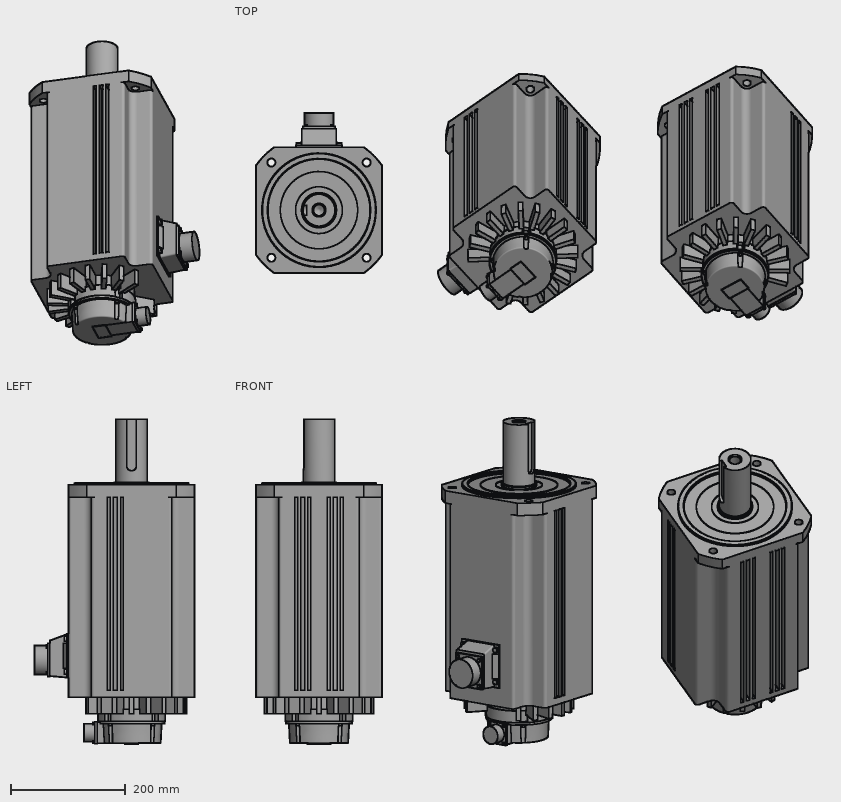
import cadquery as cq
import math

overall_length = 566.5
shaft_top = 114.5
motor_bottom = shaft_top - overall_length

shaft_radius = 28.0
keyway_width = 17.0
keyway_length = 90.0
keyway_floor = 21.5
tapped_hole_radius = 9.5
tapped_hole_depth = 34.0
tapped_hole_chamfer = 2.0
drill_point_angle = 118
collar_radius = 30.5
collar_top = 4.5
collar_chamfer = 1.0

flange_width = 220.0
flange_corner_radius = 135.0
flange_thickness = 22.0
bolt_spacing = 166.0
bolt_hole_radius = 7.0
pilot_radius = 99.5
pilot_height = 3.5
pilot_recess_radius = 89.0
pilot_chamfer = 1.0
bearing_cover_radius = 67.5
bearing_cover_height = 1.0
seal_radius = 41.0

housing_half = flange_width / 2
housing_bottom = -370.5
end_plate_thickness = 12.5
notch_wall = 70.0
notch_fillet = 12.5
edge_fillet = 5.0
groove_spans = ((14.0, 19.0), (25.0, 32.0), (37.0, 42.5))
groove_floor_radius = 98.5

fin_pitch = 18
last_fin = 8
fin_thickness = 8.0
fin_tip_radius = 96.0
fin_hub_radius = 56.5
fin_bottom = -399.5
fin_root_overlap = 5.5

encoder_flange_radius = 59.0
encoder_flange_top = -391.0
encoder_flange_bottom = -412.0
encoder_notch_width = 14.0
encoder_notch_floor = 50.0
encoder_lip_radius = 58.0
encoder_lip_bottom = -416.5
cap_top_radius = 52.5
cap_bottom_radius = 51.0
cap_bottom = -450.5
cap_edge_fillet = 2.0
screw_channel_radius = 4.25
cap_screw_radius = 3.1
cap_screw_height = 4.0
label_length = 41.0
label_width = 24.0

encoder_box_size = 37.5
encoder_box_end = 60.0
encoder_plate_size = 38.5
encoder_plate_end = 64.5
encoder_socket_radius = 16.0
encoder_socket_end = 83.0
encoder_connector_z = -432.0
encoder_screw_radius = 2.0
encoder_screw_offset = 16.0

power_base_width = 81.0
power_base_thickness = 3.0
power_top = -259.5
power_bottom = -336.5
power_box_width = 60.5
power_box_end = 142.0
power_front_top = -271.5
power_front_bottom = -333.5
power_box_fillet = 3.0
gusset_height = 9.0
gusset_top = -276.0
gusset_bottom = -320.0
base_screw_radius = 4.5
base_screw_height = 7.5
base_screw_x = 35.0
base_screw_levels = (-268.5, -326.0)
power_plate_width = 56.5
power_plate_height = 58.5
power_plate_end = 146.0
power_socket_radius = 25.5
power_socket_end = 169.5
power_socket_z = -305.5
power_screw_radius = 3.0
power_screw_offset = 23.0
connector_screw_height = 3.0


def cylinder(radius, bottom, top):
    """Upright cylinder on the motor axis."""
    return cq.Workplane("XY", origin=(0, 0, bottom)).circle(radius).extrude(top - bottom)


def block(x_span, y_span, z_span):
    """Box given by its limits along each axis."""
    size = [span[1] - span[0] for span in (x_span, y_span, z_span)]
    corner = (x_span[0], y_span[0], z_span[0])
    return cq.Workplane("XY").box(*size, centered=False).translate(corner)


def turn(body, angle):
    """Rotate a body about the motor axis."""
    return body.rotate((0, 0, 0), (0, 0, 1), angle)


def rod_along_y(radius, x, z, start, end):
    """Cylinder pointing in +Y."""
    plane = cq.Plane(origin=(x, start, z), xDir=(1, 0, 0), normal=(0, 1, 0))
    return cq.Workplane(plane).circle(radius).extrude(end - start)


def plate_along_y(width, height, z, start, end):
    """Rectangular plate centred on X = 0 and height z."""
    return block((-width / 2, width / 2), (start, end), (z - height / 2, z + height / 2))


def make_flange():
    square = cq.Workplane("XY").rect(flange_width, flange_width).extrude(-flange_thickness)
    flange = square.intersect(cylinder(flange_corner_radius, -flange_thickness, 0))
    bolt_holes = (
        cq.Workplane("XY")
        .rect(bolt_spacing, bolt_spacing, forConstruction=True)
        .vertices()
        .circle(bolt_hole_radius)
        .extrude(-flange_thickness)
    )
    pilot = cylinder(pilot_radius, 0, pilot_height)
    recess = cylinder(pilot_recess_radius, 0, pilot_height)
    pilot = pilot.cut(recess).faces(">Z").edges("%CIRCLE").chamfer(pilot_chamfer)
    cover = cylinder(bearing_cover_radius, 0, bearing_cover_height)
    seal_recess = cylinder(seal_radius, 0, bearing_cover_height)
    return flange.cut(bolt_holes).union(pilot).union(cover.cut(seal_recess))


def make_tapped_hole():
    """Centre hole in the shaft end with a chamfered mouth and a drill-point bottom."""
    mouth_radius = tapped_hole_radius + tapped_hole_chamfer
    hole_bottom = shaft_top - tapped_hole_depth
    point_depth = tapped_hole_radius / math.tan(math.radians(drill_point_angle / 2))
    return (
        cq.Workplane("XZ")
        .moveTo(0, shaft_top)
        .lineTo(mouth_radius, shaft_top)
        .lineTo(tapped_hole_radius, shaft_top - tapped_hole_chamfer)
        .lineTo(tapped_hole_radius, hole_bottom)
        .lineTo(0, hole_bottom - point_depth)
        .close()
        .revolve(360, (0, 0, 0), (0, 1, 0))
    )


def make_shaft():
    shaft = cylinder(shaft_radius, -flange_thickness, shaft_top)
    collar = cylinder(collar_radius, -flange_thickness, collar_top)
    shaft = shaft.union(collar.faces(">Z").edges().chamfer(collar_chamfer))
    shaft = shaft.cut(make_tapped_hole())

    round_end_z = shaft_top - keyway_length + keyway_width / 2
    keyway = block(
        (-collar_radius, -keyway_floor),
        (-keyway_width / 2, keyway_width / 2),
        (round_end_z, shaft_top),
    )
    round_end = (
        cq.Workplane("YZ", origin=(-collar_radius, 0, round_end_z))
        .circle(keyway_width / 2)
        .extrude(collar_radius - keyway_floor)
    )
    return shaft.cut(keyway).cut(round_end)


def make_housing():
    """Square column with a rounded notch along each corner and cooling grooves in its sides."""
    square = (-housing_half, housing_half)
    z_span = (housing_bottom, -flange_thickness)
    housing = block(square, square, z_span)
    notch_span = (notch_wall, housing_half)
    notch = block(notch_span, notch_span, z_span)
    notch = notch.edges("|Z and <X and <Y").fillet(notch_fillet)
    for index in range(4):
        housing = housing.cut(turn(notch, 90 * index))
    housing = housing.edges("|Z").edges("<X or >X or <Y or >Y").fillet(edge_fillet)
    return housing.cut(make_grooves())


def make_grooves():
    """Grooves on the front and on the rear halves of both sides, with floors on one cylinder."""
    z_span = (housing_bottom + end_plate_thickness, -flange_thickness)
    grooves = cq.Workplane("XY")
    for near, far in groove_spans:
        for sign in (-1, 1):
            span = tuple(sorted((sign * near, sign * far)))
            grooves = grooves.union(block(span, (-housing_half, 0), z_span))
        grooves = grooves.union(block((-housing_half, housing_half), (near, far), z_span))
    return grooves.cut(cylinder(groove_floor_radius, housing_bottom, 0))


def make_fins():
    """Ring of radial fins, leaving a gap on the +Y side."""
    fins = cylinder(fin_hub_radius, encoder_flange_top, housing_bottom)
    fin = block(
        (-fin_thickness / 2, fin_thickness / 2),
        (-fin_tip_radius, fin_root_overlap - fin_hub_radius),
        (fin_bottom, housing_bottom),
    )
    for index in range(-last_fin, last_fin + 1):
        fins = fins.union(turn(fin, index * fin_pitch))
    return fins


def make_encoder():
    flange = cylinder(encoder_flange_radius, encoder_flange_bottom, encoder_flange_top)
    lip = cylinder(encoder_lip_radius, encoder_lip_bottom, encoder_flange_bottom)
    cap = (
        cq.Workplane("XY", origin=(0, 0, encoder_lip_bottom))
        .circle(cap_top_radius)
        .workplane(offset=cap_bottom - encoder_lip_bottom)
        .circle(cap_bottom_radius)
        .loft()
        .faces("<Z").edges().fillet(cap_edge_fillet)
    )
    notch = block(
        (encoder_notch_floor, encoder_flange_radius),
        (-encoder_notch_width / 2, encoder_notch_width / 2),
        (encoder_flange_bottom, encoder_flange_top),
    )
    screw_axis = (cap_top_radius, 0, 0)
    channel = cylinder(screw_channel_radius, cap_bottom, encoder_lip_bottom).translate(screw_axis)
    screw_bottom = encoder_lip_bottom - cap_screw_height
    screw = cylinder(cap_screw_radius, screw_bottom, encoder_lip_bottom).translate(screw_axis)
    for index in range(4):
        angle = 45 + 90 * index
        flange = flange.cut(turn(notch, angle))
        cap = cap.cut(turn(channel, angle)).union(turn(screw, angle))
    label = block(
        (-label_length / 2, label_length / 2),
        (-label_width / 2, label_width / 2),
        (motor_bottom, cap_bottom),
    )
    return flange.union(lip).union(cap).union(label)


def make_socket(radius, z, plate_end, socket_end, screw_radius, screw_offset):
    """Round socket with four screw heads around its root."""
    socket = rod_along_y(radius, 0, z, plate_end, socket_end)
    for x in (-screw_offset, screw_offset):
        for dz in (-screw_offset, screw_offset):
            screw = rod_along_y(screw_radius, x, z + dz, plate_end, plate_end + connector_screw_height)
            socket = socket.union(screw)
    return socket


def make_encoder_connector():
    box = plate_along_y(encoder_box_size, encoder_box_size, encoder_connector_z, 0, encoder_box_end)
    plate = plate_along_y(
        encoder_plate_size, encoder_plate_size, encoder_connector_z, encoder_box_end, encoder_plate_end
    )
    socket = make_socket(
        encoder_socket_radius, encoder_connector_z, encoder_plate_end, encoder_socket_end,
        encoder_screw_radius, encoder_screw_offset,
    )
    return box.union(plate).union(socket)


def make_power_connector():
    half_box = power_box_width / 2
    half_base = power_base_width / 2
    box = (
        cq.Workplane("YZ", origin=(-half_box, 0, 0))
        .polyline([
            (housing_half, power_bottom),
            (power_box_end, power_front_bottom),
            (power_box_end, power_front_top),
            (housing_half, power_top),
        ])
        .close()
        .extrude(power_box_width)
    )
    box = box.faces("<X or >X").edges("not |Z").fillet(power_box_fillet)
    base_top = housing_half + power_base_thickness
    base = block((-half_base, half_base), (housing_half, base_top), (power_bottom, power_top))
    gusset = (
        cq.Workplane("XY", origin=(0, 0, gusset_bottom))
        .polyline([
            (-half_base, base_top),
            (half_base, base_top),
            (half_box, housing_half + gusset_height),
            (-half_box, housing_half + gusset_height),
        ])
        .close()
        .extrude(gusset_top - gusset_bottom)
    )
    plate = plate_along_y(
        power_plate_width, power_plate_height, power_socket_z, power_box_end, power_plate_end
    )
    socket = make_socket(
        power_socket_radius, power_socket_z, power_plate_end, power_socket_end,
        power_screw_radius, power_screw_offset,
    )
    connector = box.union(base).union(gusset).union(plate).union(socket)
    for x in (-base_screw_x, base_screw_x):
        for z in base_screw_levels:
            screw = rod_along_y(base_screw_radius, x, z, housing_half, housing_half + base_screw_height)
            connector = connector.union(screw)
    return connector


result = (
    make_flange()
    .union(make_shaft())
    .union(make_housing())
    .union(make_fins())
    .union(make_encoder())
    .union(make_encoder_connector())
    .union(make_power_connector())
)